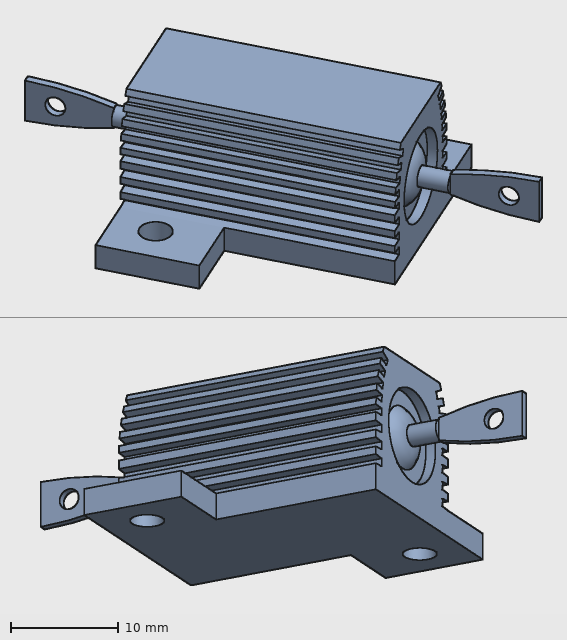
import cadquery as cq
import math

total_length = 51.0
body_length = 27.25
body_height = 14.8
body_half_width = 7.15
axis_height = 7.7

foot_reach = 14.0
foot_length = 10.3
foot_thickness = 2.6
foot_hole_diameter = 3.2
foot_hole_x = 9.15
foot_hole_y = 9.9

groove_depth = 1.1
side_groove_floor = 0.75
side_groove_mouth = 0.9
side_groove_pitch = 1.7
side_groove_count = 3
shoulder_radius = 14.3
shoulder_start_z = 8.1
shoulder_groove_floor = 0.65
shoulder_groove_mouth = 0.75
shoulder_groove_angle = 5.9
shoulder_groove_count = 5

bore_diameter = 9.25
core_recess = 1.0
dome_diameter = 6.1
dome_height = 1.0

pin_diameter = 2.1
tab_length = 8.8
tab_thickness = 0.8
tab_end_height = 4.5
tab_root_height = 2.25
tab_hole_diameter = 2.0
tab_hole_to_end = 3.0

half_length = total_length / 2
body_end_x = body_length / 2
core_end_x = body_end_x - core_recess
tab_root_x = half_length - tab_length
first_groove_z = foot_thickness + side_groove_mouth / 2
shoulder_center_y = body_half_width - shoulder_radius


def shoulder_point(angle):
    """Y and Z on the +Y shoulder arc, at an angle in degrees above its start."""
    turn = math.radians(angle)
    return (
        shoulder_center_y + shoulder_radius * math.cos(turn),
        shoulder_start_z + shoulder_radius * math.sin(turn),
    )


def make_block():
    """Bar with upright lower sides and shoulders that curve in towards a flat top."""
    top_angle = math.degrees(math.asin((body_height - shoulder_start_z) / shoulder_radius))
    top_y, top_z = shoulder_point(top_angle)
    middle_y, middle_z = shoulder_point(top_angle / 2)
    return (
        cq.Workplane("YZ", origin=(-body_end_x, 0, 0))
        .moveTo(-body_half_width, 0)
        .lineTo(body_half_width, 0)
        .lineTo(body_half_width, shoulder_start_z)
        .threePointArc((middle_y, middle_z), (top_y, top_z))
        .lineTo(-top_y, top_z)
        .threePointArc((-middle_y, middle_z), (-body_half_width, shoulder_start_z))
        .close()
        .extrude(body_length)
    )


def make_groove(y, z, angle, floor_width, mouth_width):
    """Tapered groove cutter whose mouth is centred on (y, z), tilted about X by angle."""
    outer_width = 2 * mouth_width - floor_width
    return (
        cq.Workplane("YZ", origin=(-body_end_x, 0, 0))
        .polyline([
            (-groove_depth, -floor_width / 2),
            (groove_depth, -outer_width / 2),
            (groove_depth, outer_width / 2),
            (-groove_depth, floor_width / 2),
        ])
        .close()
        .extrude(body_length)
        .rotate((0, 0, 0), (1, 0, 0), angle)
        .translate((0, y, z))
    )


def make_foot():
    """Drilled foot on the -Y side, at the -X end of the body."""
    return (
        cq.Workplane("XY")
        .box(foot_length, foot_reach - body_half_width, foot_thickness, centered=False)
        .translate((-body_end_x, -foot_reach, 0))
        .cut(
            cq.Workplane("XY")
            .center(-foot_hole_x, -foot_hole_y)
            .circle(foot_hole_diameter / 2)
            .extrude(foot_thickness)
        )
    )


def make_housing():
    """Finned heat sink with a through bore and two diagonally opposite feet."""
    grooves = []
    for index in range(side_groove_count):
        z = first_groove_z + index * side_groove_pitch
        grooves.append(make_groove(body_half_width, z, 0, side_groove_floor, side_groove_mouth))
    for index in range(shoulder_groove_count):
        angle = index * shoulder_groove_angle
        y, z = shoulder_point(angle)
        grooves.append(make_groove(y, z, angle, shoulder_groove_floor, shoulder_groove_mouth))

    housing = make_block()
    for groove in grooves:
        housing = housing.cut(groove).cut(groove.mirror("XZ"))

    bore = (
        cq.Workplane("YZ", origin=(-body_end_x, 0, axis_height))
        .circle(bore_diameter / 2)
        .extrude(body_length)
    )
    foot = make_foot()
    opposite_foot = foot.rotate((0, 0, 0), (0, 0, 1), 180)
    return housing.cut(bore).union(foot).union(opposite_foot)


def make_core():
    """Round core with a domed boss on each end and a pin-sized socket through each dome."""
    dome_radius = dome_diameter / 2
    pin_radius = pin_diameter / 2
    dome_run = dome_radius - pin_radius
    crown_radius = (dome_run**2 + dome_height**2) / (2 * dome_height)
    middle_turn = math.asin(dome_run / crown_radius) / 2
    middle_x = core_end_x + dome_height - crown_radius * (1 - math.cos(middle_turn))
    middle_r = pin_radius + crown_radius * math.sin(middle_turn)
    return (
        cq.Workplane("XY")
        .moveTo(-core_end_x, 0)
        .lineTo(-core_end_x, pin_radius)
        .lineTo(-core_end_x - dome_height, pin_radius)
        .threePointArc((-middle_x, middle_r), (-core_end_x, dome_radius))
        .lineTo(-core_end_x, bore_diameter / 2)
        .lineTo(core_end_x, bore_diameter / 2)
        .lineTo(core_end_x, dome_radius)
        .threePointArc((middle_x, middle_r), (core_end_x + dome_height, pin_radius))
        .lineTo(core_end_x, pin_radius)
        .lineTo(core_end_x, 0)
        .close()
        .revolve(360, (0, 0, 0), (1, 0, 0))
        .translate((0, 0, axis_height))
    )


def make_terminal():
    """+X terminal: a round pin that ends in a flat, flared and drilled tab."""
    pin = (
        cq.Workplane("YZ", origin=(core_end_x, 0, axis_height))
        .circle(pin_diameter / 2)
        .extrude(tab_root_x - core_end_x)
    )
    flare = (tab_end_height - tab_root_height) / 2
    edge_radius = (tab_length**2 + flare**2) / (2 * flare)
    middle_turn = math.asin(tab_length / edge_radius) / 2
    middle_x = half_length - edge_radius * math.sin(middle_turn)
    middle_z = tab_end_height / 2 - edge_radius * (1 - math.cos(middle_turn))
    tab = (
        cq.Workplane("XZ", origin=(0, 0, axis_height))
        .moveTo(half_length, -tab_end_height / 2)
        .lineTo(half_length, tab_end_height / 2)
        .threePointArc((middle_x, middle_z), (tab_root_x, tab_root_height / 2))
        .lineTo(tab_root_x, -tab_root_height / 2)
        .threePointArc((middle_x, -middle_z), (half_length, -tab_end_height / 2))
        .close()
        .extrude(tab_thickness / 2, both=True)
    )
    hole = (
        cq.Workplane("XZ", origin=(half_length - tab_hole_to_end, 0, axis_height))
        .circle(tab_hole_diameter / 2)
        .extrude(tab_thickness / 2, both=True)
    )
    return pin.union(tab.cut(hole))


housing = make_housing()
core = make_core()
terminals = []
for turn in (0, 180):
    terminals.append(make_terminal().rotate((0, 0, 0), (0, 0, 1), turn).val())

result = cq.Compound.makeCompound([housing.val(), core.val(), *terminals])